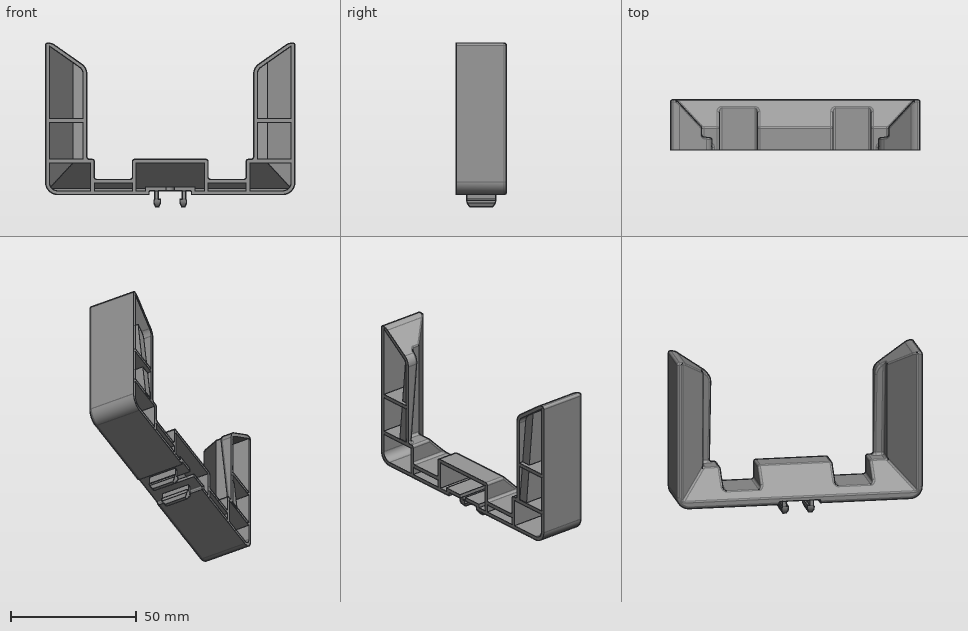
import cadquery as cq
import math

width = 99.0
depth = 20.0
height = 60.2
mid_x = width / 2
wall = 1.5
edge_round = 1.0
outer_round = 4.95

floor_z = 14.1
floor_depth = 9.0
rim_z = floor_z - (depth - floor_depth)
slope_offset = wall * math.sqrt(2)

saddle_left = 19.4
saddle_right = 34.5
saddle_z = 6.0

arm_width = 16.4
relief_width = 12.4
diagonal_run = 0.93
diagonal_offset = wall * math.hypot(1, diagonal_run)
relief_cavity_x = relief_width - wall
tip_flat = 2.4
tip_angle = math.radians(35)
tip_blend = 4.95
shelf_z = 28.7

lip_depth = 1.8
lip_lean = 0.09
crest_round = 0.8

groove_width = 16.8
groove_round = 0.6
plate_width = 19.8
plate_slot_width = 3.4
peg_length = 11.7
peg_middle_y = depth / 2
peg_outer_x = 43.3
peg_stem_width = 1.5
peg_bottom_z = -4.9
barb_top_z = -1.8
barb_outer_top_z = -2.4
barb_widest_z = -3.3
barb_outer = 0.3
barb_inner = 0.9
barb_taper = 0.7
peg_end_taper = 1.4


def box(x0, x1, y0, y1, z0, z1):
    return cq.Workplane("XY").box(x1 - x0, y1 - y0, z1 - z0, centered=False).translate((x0, y0, z0))


def plan(points, z0, z1):
    """Prism with an XY outline."""
    return cq.Workplane("XY").workplane(offset=z0).polyline(points).close().extrude(z1 - z0)


def side(points, x0, x1):
    """Prism with a YZ outline."""
    return cq.Workplane("YZ").workplane(offset=x0).polyline(points).close().extrude(x1 - x0)


def front(points, y0, y1):
    """Prism with an XZ outline."""
    return cq.Workplane("XZ").workplane(offset=-y0).polyline(points).close().extrude(y0 - y1)


def edge_at(x, z):
    """Selector of the Y-parallel edge at the given X and Z."""
    return cq.selectors.BoxSelector((x - 0.1, -1, z - 0.1), (x + 0.1, depth + 1, z + 0.1))


def fillet_through(body, radius, points):
    """Round the edges that pass closest to the given points."""
    spots = [cq.Vertex.makeVertex(*point) for point in points]
    edges = [min(body.edges().vals(), key=spot.distance) for spot in spots]
    return body.newObject(edges).fillet(radius)


def tip_z(x):
    return height - (x - tip_flat) * math.tan(tip_angle)


def diagonal_at(y):
    return relief_width - diagonal_run * (y - floor_depth)


def lip_y(z):
    return lip_depth + lip_lean * (z - floor_z)


def arm_silhouette():
    """Front outline of an arm, with rounded tip, through the full depth."""
    corner_z = tip_z(arm_width)
    points = [(0, 0), (arm_width, 0), (arm_width, corner_z), (tip_flat, height), (0, height)]
    shape = front(points, 0, depth)
    shape = shape.edges(edge_at(arm_width, corner_z)).fillet(tip_blend)
    shape = shape.edges(edge_at(tip_flat, height)).fillet(tip_blend)
    return shape.edges(edge_at(0, height)).fillet(edge_round)


def base_block():
    points = [(0, 0), (depth, 0), (depth, rim_z), (floor_depth, floor_z), (0, floor_z)]
    block = side(points, 0, mid_x)
    saddle = box(saddle_left, saddle_right, -1, depth + 1, saddle_z, floor_z + 1)
    return block.cut(saddle)


def arm_body():
    """Arm with its diagonal rear face and the relief behind the front lip."""
    points = [(0, 0), (relief_width, 0), (relief_width, floor_depth), (diagonal_at(depth), depth), (0, depth)]
    arm = plan(points, 0, height)
    lip_points = [(0, 0), (lip_y(0), 0), (lip_y(height), height), (0, height)]
    arm = arm.union(side(lip_points, 0, arm_width))
    middle_z = height / 2
    arm = fillet_through(arm, edge_round, [(relief_width, lip_y(middle_z), middle_z)])
    arm = arm.intersect(arm_silhouette())
    diagonal_middle_y = (floor_depth + depth) / 2
    diagonal_middle_x = diagonal_at(diagonal_middle_y)
    lip_middle_x = (relief_width + arm_width) / 2
    relief_z = tip_z(relief_width)
    crest = [
        (diagonal_middle_x, diagonal_middle_y, tip_z(diagonal_middle_x)),
        (relief_width, (lip_y(relief_z) + floor_depth) / 2, relief_z),
        (lip_middle_x, lip_y(tip_z(lip_middle_x)), tip_z(lip_middle_x)),
        (arm_width, lip_y(middle_z), middle_z),
    ]
    return fillet_through(arm, crest_round, crest)


def round_body(body):
    """Round the outer bottom corner, the rear outline, and the edges of the floor, slope and saddle."""
    body = body.edges(edge_at(0, 0)).fillet(outer_round)
    rear_x = diagonal_at(depth)
    corner_middle = outer_round * (1 - math.sqrt(0.5))
    tip_middle = edge_round * (1 - math.sqrt(0.5))
    rear_outline = [
        (0, depth, height / 2),
        (mid_x / 2, depth, 0),
        (corner_middle, depth, corner_middle),
        (tip_middle, depth, height - tip_middle),
        ((edge_round + rear_x) / 2, depth, height),
        (rear_x, depth, height / 2),
        (mid_x / 2, depth, rim_z),
    ]
    slope_middle_y = (floor_depth + depth) / 2
    arm_foot = [
        (arm_width, lip_depth / 2, floor_z),
        ((relief_width + arm_width) / 2, lip_depth, floor_z),
        (relief_width, (lip_depth + floor_depth) / 2, floor_z),
        (diagonal_at(slope_middle_y), slope_middle_y, (floor_z + rim_z) / 2),
    ]
    floor_edge = [
        ((arm_width + saddle_left) / 2, floor_depth, floor_z),
        ((saddle_right + mid_x) / 2, floor_depth, floor_z),
    ]
    slope_run = floor_z - saddle_z
    saddle_edges = [((saddle_left + saddle_right) / 2, floor_depth + slope_run, saddle_z)]
    for x in (saddle_left, saddle_right):
        saddle_edges.append((x, floor_depth / 2, floor_z))
        saddle_edges.append((x, floor_depth + slope_run / 2, floor_z - slope_run / 2))
        saddle_edges.append((x, floor_depth / 2, saddle_z))
    return fillet_through(body, edge_round, rear_outline + arm_foot + floor_edge + saddle_edges)


def base_space():
    """Room inside the rear wall and under the sloped skin."""
    reach = floor_depth + floor_z - slope_offset
    inner_y = depth - wall
    points = [(0, 0), (inner_y, 0), (inner_y, reach - inner_y), (reach - floor_z, floor_z), (0, floor_z)]
    return side(points, 0, mid_x)


def arm_space():
    """Room inside the arm skin, without the lip."""
    inner_y = depth - wall
    bend_y = floor_depth + (wall - diagonal_offset) / diagonal_run
    points = [
        (0, 0),
        (relief_cavity_x, 0),
        (relief_cavity_x, bend_y),
        (diagonal_at(inner_y) - diagonal_offset, inner_y),
        (0, inner_y),
    ]
    return plan(points, 0, height)


def lip_space():
    """Room behind the front edge of the lip, in front of its leaning rear skin."""
    points = [(0, floor_z), (lip_y(floor_z) - wall, floor_z), (lip_y(height) - wall, height), (0, height)]
    return side(points, 0, arm_width)


def base_cells():
    """Cells below the floor: arm corner, below the saddle, and centre."""
    ceiling = floor_z - wall
    corner = box(wall, saddle_left - wall, 0, depth, wall, ceiling)
    corner = corner.edges(edge_at(wall, wall)).fillet(outer_round - wall)
    corner = corner.intersect(base_space().union(arm_space()))
    below_saddle = box(saddle_left, saddle_right, 0, depth, wall, saddle_z - wall)
    centre = box(saddle_right + wall, mid_x, 0, depth, wall, ceiling)
    return [corner, below_saddle.intersect(base_space()), centre.intersect(base_space())]


def arm_cells():
    """Two cells in the arm, separated by a shelf."""
    inner_x = arm_width - wall
    tip_drop = wall / math.cos(tip_angle)
    corner_z = tip_z(inner_x) - tip_drop
    points = [(wall, floor_z), (inner_x, floor_z), (inner_x, corner_z), (wall, tip_z(wall) - tip_drop)]
    cell = front(points, 0, depth)
    cell = cell.edges(edge_at(inner_x, corner_z)).fillet(tip_blend - wall)
    cell = cell.intersect(arm_space().union(lip_space()))
    return cell.cut(box(0, arm_width, 0, depth, shelf_z, shelf_z + wall))


def add_peg_mount(body):
    """Half of the raised plate, with the groove below it and a slot from the front."""
    body = body.union(box(mid_x - plate_width / 2, mid_x, 0, depth - wall, 0, 2 * wall))
    groove_left = mid_x - groove_width / 2
    groove = box(groove_left, mid_x, 0, depth, 0, wall)
    body = body.cut(groove.edges(edge_at(groove_left, wall)).fillet(groove_round))
    slot_radius = plate_slot_width / 2
    slot_middle_y = peg_middle_y + peg_length / 2 - slot_radius
    slot = box(mid_x - slot_radius, mid_x, 0, slot_middle_y, 0, 2 * wall)
    slot_end = cq.Workplane("XY").center(mid_x, slot_middle_y).circle(slot_radius).extrude(2 * wall)
    return body.cut(slot).cut(slot_end)


def peg():
    """Long snap peg: barbed front profile trimmed by a side profile with rounded ends."""
    stem_inner_x = peg_outer_x + peg_stem_width
    head_outer_x = peg_outer_x - barb_outer
    head_inner_x = stem_inner_x + barb_inner
    y0 = peg_middle_y - peg_length / 2
    y1 = peg_middle_y + peg_length / 2
    points = [
        (peg_outer_x, wall),
        (peg_outer_x, barb_top_z),
        (head_outer_x, barb_outer_top_z),
        (head_outer_x, barb_widest_z),
        (head_outer_x + barb_taper, peg_bottom_z),
        (head_inner_x - barb_taper, peg_bottom_z),
        (head_inner_x, barb_widest_z),
        (head_inner_x, barb_top_z),
        (stem_inner_x, barb_top_z),
        (stem_inner_x, wall),
    ]
    profile = (
        cq.Workplane("YZ")
        .moveTo(y1, wall)
        .lineTo(y1, barb_top_z)
        .tangentArcPoint((y1 - peg_end_taper, peg_bottom_z), relative=False)
        .lineTo(peg_middle_y, peg_bottom_z)
        .lineTo(peg_middle_y, wall)
        .close()
        .extrude(mid_x)
    )
    profile = profile.mirror("XZ", (0, peg_middle_y, 0), union=True)
    return front(points, y0, y1).intersect(profile)


half = base_block().union(arm_body())
half = round_body(half)
for cell in base_cells() + arm_cells().solids().vals():
    half = half.cut(cell)
half = add_peg_mount(half).union(peg())
result = half.mirror("YZ", (mid_x, 0, 0), union=True)